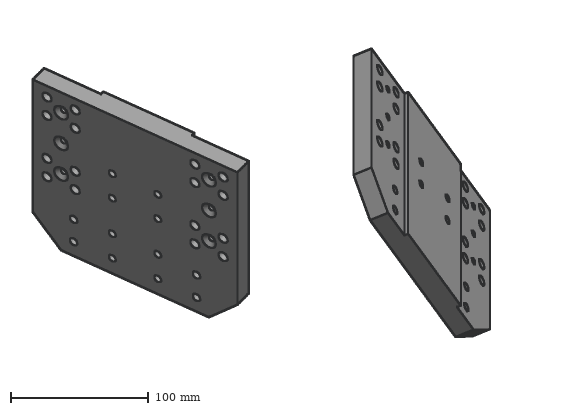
import cadquery as cq

width = 180.0
height = 155.0
total_thickness = 18.0
corner_chamfer = 25.0

pad_width = 80.0
pad_height = 3.0
plate_thickness = total_thickness - pad_height

group_x = 65.0
first_screw_drop = 20.0
screw_pitch = 30.0
screws_per_column = 3
screw_diameter = 5.0
countersink_diameter = 12.0
countersink_angle = 90

clearance_diameter = 8.0
clearance_offset_x = 12.5
clearance_offset_z = 9.0

central_x = 20.0
central_pitch = 24.0
central_diameter = 6.0
through_drop = 57.0
blind_drop = 116.0
blind_depth = 12.0

outer_x = 54.0
outer_drop = 119.0
outer_pitch = 22.0
outer_diameter = 6.5


def mirrored_columns(x, drops):
    """Points on both sides of the centre line, at distances below the top edge."""
    return [(side * x, height - drop) for side in (-1, 1) for drop in drops]


def front_face():
    """Sketch plane on the front face, with its normal pointing out of the plate."""
    return cq.Workplane("XZ")


def drill(body, points, diameter, depth=total_thickness):
    """Cut round holes from the front face to the given depth."""
    holes = front_face().pushPoints(points).circle(diameter / 2).extrude(-depth)
    return body.cut(holes)


half_width = width / 2
plate = (
    front_face()
    .moveTo(-half_width, height)
    .lineTo(half_width, height)
    .lineTo(half_width, corner_chamfer)
    .lineTo(half_width - corner_chamfer, 0)
    .lineTo(corner_chamfer - half_width, 0)
    .lineTo(-half_width, corner_chamfer)
    .close()
    .extrude(-plate_thickness)
)
pad = cq.Workplane("XY").box(pad_width, total_thickness, height, centered=(True, False, False))
body = plate.union(pad)

screw_drops = [first_screw_drop + i * screw_pitch for i in range(screws_per_column)]
screw_points = mirrored_columns(group_x, screw_drops)
body = (
    front_face()
    .add(body)
    .pushPoints(screw_points)
    .cskHole(screw_diameter, countersink_diameter, countersink_angle)
)

clearance_points = [
    (x + side * clearance_offset_x, z + level * clearance_offset_z)
    for x, z in mirrored_columns(group_x, [screw_drops[0], screw_drops[-1]])
    for side in (-1, 1)
    for level in (-1, 1)
]
body = drill(body, clearance_points, clearance_diameter)

through_points = mirrored_columns(central_x, [through_drop, through_drop + central_pitch])
blind_points = mirrored_columns(central_x, [blind_drop, blind_drop + central_pitch])
outer_points = mirrored_columns(outer_x, [outer_drop, outer_drop + outer_pitch])
body = drill(body, through_points, central_diameter)
body = drill(body, blind_points, central_diameter, blind_depth)
body = drill(body, outer_points, outer_diameter)

result = body